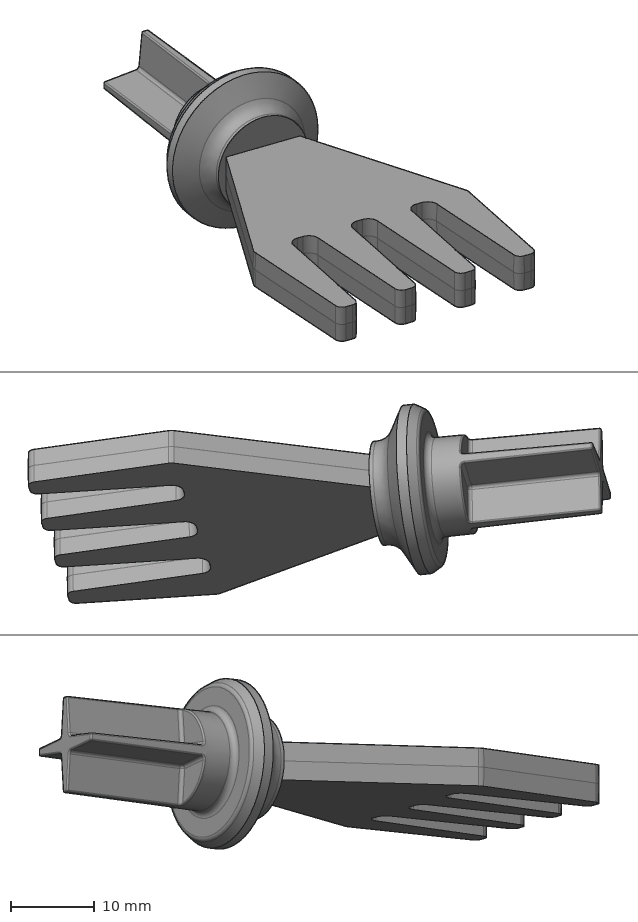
import cadquery as cq
import math


shank_end_radius = 5.8
shank_base_radius = 5.96
arm_length = 15.95
arm_half_root = 0.93
arm_side_angle = 5.5
pocket_draft = 0.7
pocket_fillet = 0.45
arm_edge_round = 0.2

flange_start = 20.3
flange_radius = 10.16
flange_chamfer_end = 21.7
flange_rim_end = 22.95
flange_face_radius = 9.36
flange_face_round = 0.6
flange_base_fillet = 0.8
cone_angle = 60.0
collar_radius = 6.24
collar_fillet = 2.3
collar_end = 27.0

total_length = 67.05
hand_thickness = 4.6
hand_draft = 1.0
finger_count = 4
finger_pitch = 8.29
finger_half_tip = 1.35
finger_side_angle = 3.8
slot_bottom = 49.1
shoulder_x = 49.3
wrist_half_width = 5.2
shoulder_round = 1.4
finger_tip_round = 0.95
slot_round = 1.3

finger_length = total_length - shoulder_x

hand_embed = 1.0
tolerance = 0.01


def make_turned_body():
    """Solid of revolution: tapered shank, flange and collar, without the pockets."""
    cone_length = (flange_radius - collar_radius) / math.tan(math.radians(cone_angle))
    cone_end = flange_rim_end + cone_length
    body = (
        cq.Workplane("XY")
        .moveTo(0, 0)
        .lineTo(0, shank_end_radius)
        .lineTo(flange_start, shank_base_radius)
        .lineTo(flange_start, flange_face_radius)
        .lineTo(flange_chamfer_end, flange_radius)
        .lineTo(flange_rim_end, flange_radius)
        .lineTo(cone_end, collar_radius)
        .lineTo(collar_end, collar_radius)
        .lineTo(collar_end, 0)
        .close()
        .revolve(360, (0, 0, 0), (1, 0, 0))
    )

    def circle_at(x, radius):
        return cq.selectors.BoxSelector(
            (x - tolerance, -radius - tolerance, -radius - tolerance),
            (x + tolerance, radius + tolerance, radius + tolerance),
            boundingbox=True,
        )

    body = body.edges(circle_at(cone_end, collar_radius)).fillet(collar_fillet)
    body = body.edges(circle_at(flange_start, shank_base_radius)).fillet(flange_base_fillet)
    face_rim = circle_at(flange_start, flange_face_radius) - circle_at(
        flange_start, shank_base_radius + flange_base_fillet
    )
    return body.edges(face_rim).fillet(flange_face_round)


def make_pocket():
    """One quarter pocket between two arms, rounded at its root and floor."""
    reach = 2 * shank_base_radius
    near = arm_half_root
    far = near - (reach - near) * math.tan(math.radians(arm_side_angle))
    pocket = (
        cq.Workplane("YZ")
        .polyline([(near, near), (reach, far), (reach, reach), (far, reach)])
        .close()
        .extrude(arm_length, taper=pocket_draft)
    )
    root_edge = cq.selectors.NearestToPointSelector((arm_length / 2, near, near))
    pocket = pocket.edges(root_edge).fillet(pocket_fillet)
    return pocket.faces(">X").edges().fillet(pocket_fillet)


def round_arm_edges(body):
    """Break the sharp edges around the cross end face and along the pocket mouths."""
    mouth_radius = (arm_half_root + shank_base_radius) / 2

    def is_on_mouth(edge):
        middle = edge.Center()
        inside_shank = edge.BoundingBox().xmax < arm_length + tolerance
        return inside_shank and middle.x > tolerance and math.hypot(middle.y, middle.z) > mouth_radius

    mouth_edges = [edge for edge in body.edges().vals() if is_on_mouth(edge)]
    end_edges = body.faces("<X").edges().vals()
    return body.newObject(mouth_edges + end_edges).fillet(arm_edge_round)


def make_shank_and_flange():
    """Turned body with four pockets that leave the cross-shaped shank."""
    body = make_turned_body()
    pocket = make_pocket()
    for angle in (0, 90, 180, 270):
        body = body.cut(pocket.rotate((0, 0, 0), (1, 0, 0), angle))
    return round_arm_edges(body)


def hand_outline():
    """Corner points of the hand in its middle plane, with the finger tips and slots."""
    slope = math.tan(math.radians(finger_side_angle))
    half_root = finger_half_tip + finger_length * slope
    half_slot_end = finger_half_tip + (total_length - slot_bottom) * slope
    outer = finger_pitch * (finger_count - 1) / 2
    points = [(collar_end - hand_embed, -wrist_half_width), (collar_end, -wrist_half_width)]
    points.append((shoulder_x, -outer - half_root))
    for finger in range(finger_count):
        centre = finger * finger_pitch - outer
        if finger > 0:
            points.append((slot_bottom, centre - half_slot_end))
        points.append((total_length, centre - finger_half_tip))
        points.append((total_length, centre + finger_half_tip))
        if finger < finger_count - 1:
            points.append((slot_bottom, centre + half_slot_end))
    points.append((shoulder_x, outer + half_root))
    points.append((collar_end, wrist_half_width))
    points.append((collar_end - hand_embed, wrist_half_width))
    return points


def make_hand():
    """Flat hand, its outline rounded first and then drafted away from the middle plane."""
    blank = cq.Workplane("XY").polyline(hand_outline()).close().extrude(hand_thickness)
    corner_rounds = (
        (slot_bottom, slot_round),
        (shoulder_x, shoulder_round),
        (total_length, finger_tip_round),
    )
    half_span = 2 * flange_radius
    for x, radius in corner_rounds:
        corners = cq.selectors.BoxSelector(
            (x - tolerance, -half_span, tolerance),
            (x + tolerance, half_span, hand_thickness - tolerance),
        )
        blank = blank.edges(corners).fillet(radius)

    outline = blank.faces("<Z").wires().toPending()
    half = outline.extrude(hand_thickness / 2, combine=False, taper=hand_draft)
    return half.union(half.mirror("XY"))


result = make_shank_and_flange().union(make_hand())